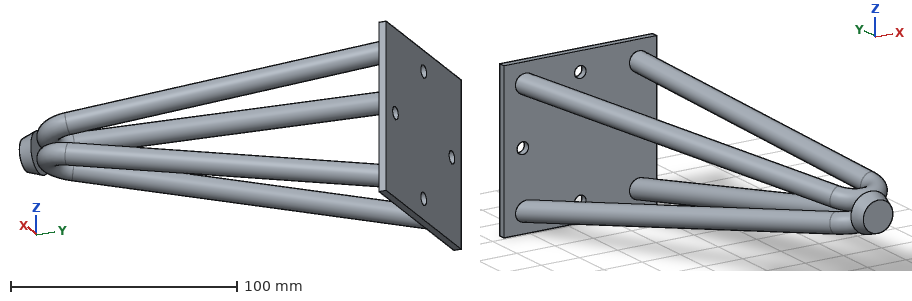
import cadquery as cq
import math

leg_length = 170.0

plate_side = 80.0
plate_thickness = 3.5
hole_diameter = 6.0
hole_offset = 30.1

foot_x = 50.0
foot_height = 6.6
foot_top_diameter = 20.0
foot_tip_diameter = 15.5
foot_top_y = foot_height - leg_length

rod_diameter = 10.0
rod_radius = rod_diameter / 2
bend_radius = 11.4
anchor_offset = hole_offset

bend_tip_y = foot_top_y + rod_radius
bend_tip_z = rod_radius
tilt_drop = anchor_offset - bend_tip_z
plane_length = math.hypot(bend_tip_y, tilt_drop)


def make_plate():
    blank = cq.Workplane("XY").box(plate_side, plate_thickness, plate_side, centered=(True, False, True))
    blank = blank.translate((0, -plate_thickness, 0))
    return (
        blank.faces("<Y").workplane(centerOption="CenterOfBoundBox")
        .polarArray(hole_offset, 0, 360, 4)
        .hole(hole_diameter)
    )


def tangent_angle(anchor_x, side):
    """Angle on the bend circle where the straight leg from the anchor meets it."""
    to_anchor_x = anchor_x - foot_x
    to_anchor_y = plane_length - bend_radius
    distance = math.hypot(to_anchor_x, to_anchor_y)
    return math.atan2(to_anchor_y, to_anchor_x) - side * math.acos(bend_radius / distance)


def make_rod(side):
    """Bent rod above (side = 1) or below (side = -1) the middle of the plate."""
    bend_plane = cq.Plane(
        origin=(foot_x, bend_tip_y, side * bend_tip_z),
        xDir=(1, 0, 0),
        normal=(0, -side * tilt_drop, -bend_tip_y),
    )

    def bend_point(angle):
        return (bend_radius * math.cos(angle), bend_radius * (1 + math.sin(angle)))

    def straight_start(anchor_x, bend_end):
        """Point one rod diameter beyond the anchor, so the plate face can trim the rod."""
        run_x = anchor_x - foot_x - bend_end[0]
        run_y = plane_length - bend_end[1]
        stretch = 1 + rod_diameter / math.hypot(run_x, run_y)
        return (bend_end[0] + stretch * run_x, bend_end[1] + stretch * run_y)

    left_end = bend_point(tangent_angle(-anchor_offset, -1))
    right_end = bend_point(tangent_angle(anchor_offset, 1))
    left_start = straight_start(-anchor_offset, left_end)
    right_start = straight_start(anchor_offset, right_end)

    path = (
        cq.Workplane(bend_plane)
        .moveTo(*left_start)
        .lineTo(*left_end)
        .threePointArc((0, 0), right_end)
        .lineTo(*right_start)
    )
    start_plane = cq.Plane(
        origin=bend_plane.toWorldCoords(left_start),
        xDir=bend_plane.zDir,
        normal=bend_plane.toWorldCoords(left_end) - bend_plane.toWorldCoords(left_start),
    )
    rod = cq.Workplane(start_plane).circle(rod_radius).sweep(path)

    trim = cq.Workplane("XY").box(
        2 * leg_length, leg_length, 2 * leg_length, centered=(True, False, True)
    )
    return rod.cut(trim.translate((0, -plate_thickness, 0)))


def make_foot():
    profile = [
        (0, -leg_length),
        (foot_tip_diameter / 2, -leg_length),
        (foot_top_diameter / 2, foot_top_y),
        (0, foot_top_y),
    ]
    foot = cq.Workplane("XY").polyline(profile).close().revolve(360, (0, 0, 0), (0, 1, 0))
    return foot.translate((foot_x, 0, 0))


plate = make_plate()
rods = [make_rod(side) for side in (1, -1)]
foot = make_foot()

result = cq.Compound.makeCompound([plate.val(), *[rod.val() for rod in rods], foot.val()])